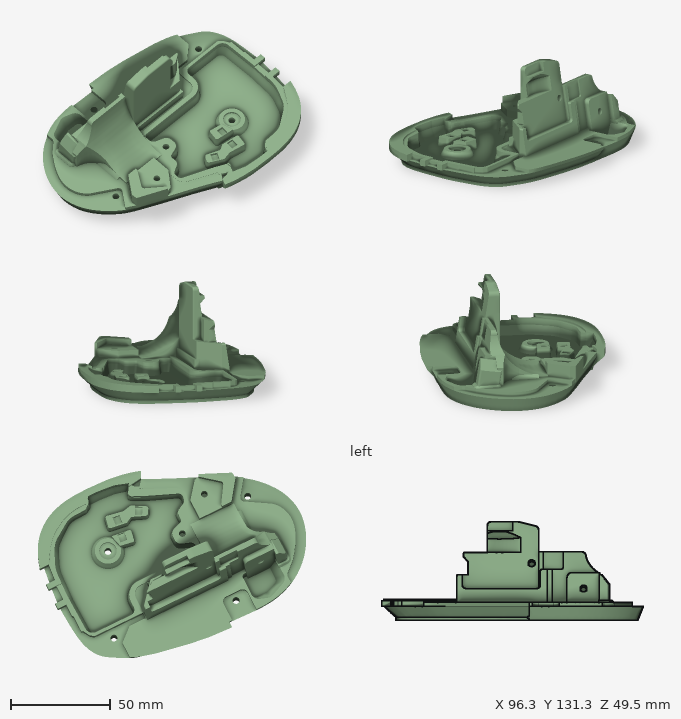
import cadquery as cq
import math


ledge_z = 7.1
deck_z = 9.1
rail_z = 10.0
front_rail_z = 9.3
flank_z = 10.7
pocket_floor_z = 2.5
recess_floor_z = 3.0
pad_z = 12.9
block_z = 15.8
wall_low_z = 23.0
wall_ledge_z = 16.0
wall_front_z = 34.5
wall_mid_z = 34.2
tower_z = 49.53

front_flare = 22.0
rear_flare = 47.0
rear_foot_z = 1.6
split_y = 57.3
overall_y = 131.27
far = 200.0

front_rim = [(89.1, 63.8), (76.9, 37.6), (72.0, 27.0), (66.9, 17.4), (60.1, 9.5), (51.4, 3.2), (39.5, 0.0),
             (26.1, 2.8), (14.2, 11.1), (7.4, 20.6), (3.7, 31.7), (2.9, 41.6), (3.3, split_y)]
rear_rim = [(-0.1, 46.0), (0.0, split_y), (1.1, 74.5), (3.1, 87.2), (5.1, 97.9), (9.2, 110.3),
            (12.2, 115.8), (16.6, 122.5), (25.3, 127.6), (38.0, 129.5), (47.5, 130.0), (58.4, 129.2),
            (72.0, 127.4), (82.7, 123.6), (91.0, 115.2), (95.0, 105.4), (96.2, 88.7), (95.4, 74.5),
            (92.5, 62.2), (88.0, 49.0)]
left_undercut = 1.0
left_rim_count = 5
rear_ledge_rim = [(x + left_undercut, y) for x, y in rear_rim[:left_rim_count]] + rear_rim[left_rim_count:]
front_closing = [(20, 100), (70, 100)]
rear_closing = [(80.0, 40.0), (12.0, 40.0)]
rear_region = [(-far, split_y), (40, split_y), (89.1, 63.8), (92.5, 62.2), (far, 30), (far, far), (-far, far)]

tab_inner_x0, tab_inner_x1 = 50.5, 58.4

wall_lean = 0.158
lean_angle = math.degrees(math.atan(wall_lean))
ramp_radius = 26.0
ramp_foot_x = 56.8
ramp_foot_z = 9.9
ramp_y0, ramp_y1 = 28.0, 52.5
front_end_y = 17.5
front_foot_x = 22.6
upper_foot_x = 24.2
pad_foot_x = 19.8
scoop_center = (17.2, 72.2)
scoop_radius = 16.3
scoop_roof_z = 43.5
wall_back_x = 37.3
wall_skirt_x = 38.7
wall_skirt_z = 14.0
tower_y0, tower_y1 = 52.4, 78.3

through_d = 3.5
blind_d = 3.4
blind_depth = 6.0
rail_hole = (54.5, 58.0)
pad_hole = (67.0, 39.4)
wall_hole_yz = (56.0, 28.7)
short_pad_hole_yz = (30.0, 16.0)
through_holes = [(22.0, 112.6), (12.0, 49.1), (57.6, 19.8)]
boss_center = (63.9, 95.0)


def rounded_outline(points, z=0.0):
    """Closed wire at height z; a point (x, y, r) has its corner rounded to radius r."""
    corners = []
    count = len(points)
    for i, point in enumerate(points):
        here = cq.Vector(point[0], point[1])
        radius = point[2] if len(point) > 2 else 0.0
        if radius == 0.0:
            corners.append((here, None, here))
            continue
        before = cq.Vector(*points[i - 1][:2])
        after = cq.Vector(*points[(i + 1) % count][:2])
        to_before = (before - here).normalized()
        to_after = (after - here).normalized()
        half_angle = to_before.getAngle(to_after) / 2
        setback = radius / math.tan(half_angle)
        bisector = (to_before + to_after).normalized()
        mid = here + bisector * (radius / math.sin(half_angle) - radius)
        corners.append((here + to_before * setback, mid, here + to_after * setback))
    path = cq.Workplane("XY", origin=(0, 0, z)).moveTo(*corners[0][2].toTuple()[:2])
    for start, mid, end in corners[1:] + corners[:1]:
        path = path.lineTo(*start.toTuple()[:2])
        if mid is not None:
            path = path.threePointArc(mid.toTuple()[:2], end.toTuple()[:2])
    return path.close()


def prism(points, z0, z1):
    """Upright prism on a rounded outline."""
    return rounded_outline(points, z0).extrude(z1 - z0)


def box(x0, x1, y0, y1, z0, z1):
    return cq.Workplane("XY").box(x1 - x0, y1 - y0, z1 - z0, centered=False).translate((x0, y0, z0))


def side_prism(points, x0, x1):
    """Prism along X on a rounded (Y, Z) outline."""
    return prism(points, x0, x1).rotate((0, 0, 0), (1, 1, 1), 120)


def leaning_slab(points, foot_x, back_x):
    """Slab on a (Y, Z) outline, its left face leaning from foot_x at Z = 0, its back at back_x."""
    lean = (
        cq.Workplane("XZ", origin=(0, far, 0))
        .moveTo(foot_x, 0).lineTo(far, 0).lineTo(far, far).lineTo(foot_x + wall_lean * far, far)
        .close().extrude(2 * far)
    )
    return side_prism(points, foot_x, back_x).intersect(lean)


def behind_face(foot_x, back_x):
    """Everything between a leaning plane and an upright plane at back_x."""
    return leaning_slab([(0, 0), (0, far), (far, far), (far, 0)], foot_x, back_x)


def inset(points, distance):
    """Points of an open clockwise curve, each moved to the right by distance."""
    moved = []
    for i, (x, y) in enumerate(points):
        x0, y0 = points[max(i - 1, 0)]
        x1, y1 = points[min(i + 1, len(points) - 1)]
        length = math.hypot(x1 - x0, y1 - y0)
        moved.append((x + distance * (y1 - y0) / length, y - distance * (x1 - x0) / length))
    return moved


def rim_wire(points, closing, z):
    """Closed wire at height z: a smooth curve through points, shut by straight lines."""
    path = cq.Workplane("XY", origin=(0, 0, z)).moveTo(*points[0]).spline(points[1:], includeCurrent=True)
    for point in closing:
        path = path.lineTo(*point)
    return path.close()


def flared_body(foot, rim, closing, foot_z):
    """Body up to the ledge: upright on its foot curve to foot_z, then flaring out to the rim."""
    sections = [rim_wire(foot, closing, foot_z).val(), rim_wire(rim, closing, ledge_z).val()]
    body = cq.Workplane(cq.Solid.makeLoft(sections, True))
    if foot_z > 0:
        body = body.union(rim_wire(foot, closing, 0).extrude(foot_z))
    return body


def front_body():
    foot = inset(front_rim, ledge_z * math.tan(math.radians(front_flare)))
    return flared_body(foot, front_rim, front_closing, 0)


def rear_body():
    foot = inset(rear_rim, (ledge_z - rear_foot_z) * math.tan(math.radians(rear_flare)))
    body = flared_body(foot, rear_ledge_rim, rear_closing, rear_foot_z)
    return body.intersect(prism(rear_region, 0, ledge_z))


def main_deck():
    """Deck on the left and front, set back from the ledge, with a notch around one screw hole."""
    height = deck_z - ledge_z
    front = rim_wire(front_rim, front_closing, ledge_z).extrude(height)
    rear_bottom = rim_wire(rear_ledge_rim, rear_closing, ledge_z).val()
    rear_top = rim_wire(rear_rim, rear_closing, deck_z).val()
    rear = cq.Workplane(cq.Solid.makeLoft([rear_bottom, rear_top], True))
    rear = rear.intersect(prism(rear_region, 0, far))
    region = (
        cq.Workplane("XY", origin=(0, 0, ledge_z))
        .moveTo(-far, 110.3).lineTo(17.4, 110.1).lineTo(23.7, 103.0).lineTo(23.7, 94.0).lineTo(50, 94.0)
        .lineTo(89.1, 63.8).lineTo(far, 63.8).lineTo(far, 17.4).lineTo(66.9, 17.4).lineTo(58.6, 23.4)
        .threePointArc((56.8, 23.8), (55.4, 22.6)).lineTo(49.4, 12.7)
        .spline([(45.1, 7.9), (37.2, 5.5), (26.9, 8.3), (17.4, 14.7)], includeCurrent=True)
        .lineTo(12.8, 19.8).lineTo(11.5, 20.6).lineTo(-far, 20.6).close().extrude(height)
    )
    notch = [(-far, 55.7), (15.6, 55.7, 3), (15.6, 42.2, 3), (-far, 42.2)]
    return front.union(rear).intersect(region).cut(prism(notch, ledge_z, deck_z))


def pocket_rail():
    outline = [(26.6, 90), (26.6, 121.2), (28.1, 123.2, 1), (31.6, 125.2), (31.6, 126.0), (40.3, 126.0),
               (41.1, 126.6), (61.3, 126.6), (61.3, 126.0), (69.9, 125.2), (80.7, 119.7, 8), (91, 106, 8),
               (92.6, 95), (89.5, 70.5), (84.3, 66.4), (76.0, 48.0, 5), (ramp_foot_x, 47.1),
               (ramp_foot_x, ramp_y1), (31, ramp_y1)]
    wall_seat = [(24, 93.8), (39.9, 93.8, 5), (39.9, 52), (24, 52)]
    slot_depth, slot_y0 = 1.0, 120.0
    slot = box(tab_inner_x0, tab_inner_x1, slot_y0, overall_y, rail_z - slot_depth, rail_z)
    drop_x0, drop_y1 = 42.4, 72.5
    front_drop = box(drop_x0, far, 0, drop_y1, front_rail_z, rail_z)
    rail = prism(outline, ledge_z, rail_z)
    return rail.cut(prism(wall_seat, deck_z, rail_z)).cut(slot).cut(front_drop)


def right_flank():
    outline = (
        cq.Workplane("XY", origin=(0, 0, ledge_z))
        .moveTo(69.9, 130.2)
        .spline([(76.4, 128.0), (82.7, 124.6), (91.0, 115.7), (95.0, 105.4), (96.26, 88.7), (95.4, 74.5),
                 (92.5, 62.2)], includeCurrent=True)
        .lineTo(89.1, 63.8).lineTo(87.9, 72.1).lineTo(91.8, 78).lineTo(92.3, 91.9).lineTo(89.5, 94.3)
        .spline([(88.7, 103.8), (86.3, 110.1), (80.7, 117.7), (73.2, 123.2), (69.9, 125.2)],
                includeCurrent=True)
        .close()
    )
    return outline.extrude(flank_z - ledge_z)


def tabs():
    """Two hooks that stick out of the back of the rail."""
    thickness, width = 3.0, 3.0
    root_y = 123.5
    right_tab_y = 130.9
    left = box(tab_inner_x0 - width, tab_inner_x0, root_y, overall_y, rail_z - thickness, rail_z)
    right = box(tab_inner_x1, tab_inner_x1 + width, root_y, right_tab_y, rail_z - thickness, rail_z)
    return left.union(right)


def pocket():
    """Pocket with walls drafted near the floor; the rear wall and the side bay slope the most."""
    rim = [(28.2, 96.9, 3), (28.2, 123.4, 4), (49.8, 124.0), (66.5, 123.4, 20), (78.5, 117.7, 12),
           (86.7, 105.5, 10), (87.1, 95.9, 1.5), (89.5, 93.1), (92.6, 91.9), (92.6, 86.4), (91.8, 77.7),
           (89.5, 70.5), (87.9, 71.5, 1), (83.9, 73.8, 1.5), (79.8, 65.0), (73.2, 48.9, 2.5),
           (68.8, 49.6, 2), (65.7, 55.3, 3), (60.3, 55.5, 1.5), (57.8, 62.9, 3.6),
           (50.8, 62.9, 3.6), (47.9, 54.7, 3), (42.4, 54.7, 1.5), (42.4, 96.9, 8)]
    floor = [(29.4, 97.7, 2), (29.4, 121.0, 3), (49.8, 121.5), (66.5, 120.6, 20), (77.5, 116.0, 12),
             (86.2, 105.0, 9), (86.6, 95.5, 1.2), (88.2, 92.8), (90.0, 91.7), (90.0, 86.4), (89.4, 78.3),
             (87.9, 72.4), (87.0, 72.3, 0.8), (83.6, 74.3, 1.2), (78.9, 65.3), (72.8, 49.9, 2),
             (69.4, 50.6, 2), (66.2, 56.4, 3), (61.1, 56.4, 1.5), (58.4, 63.7, 3.8),
             (50.2, 63.7, 3.8), (47.2, 55.6, 2.5), (43.3, 55.6, 1), (43.3, 97.7, 8)]
    draft_top_z = 7.0
    sections = [rounded_outline(floor, pocket_floor_z).val(), rounded_outline(rim, draft_top_z).val()]
    drafted = cq.Workplane(cq.Solid.makeLoft(sections, True))
    return drafted.union(prism(rim, draft_top_z, flank_z))


def pivot_boss():
    base_r, top_r, recess_r = 8.5, 6.6, 4.4
    top_z = 6.0
    recess_z = 5.0
    boss = (
        cq.Workplane("XY", origin=(*boss_center, pocket_floor_z))
        .circle(base_r).workplane(offset=top_z - pocket_floor_z).circle(top_r).loft(ruled=True)
    )
    recess = cq.Workplane("XY", origin=(*boss_center, recess_z)).circle(recess_r).extrude(top_z - recess_z)
    return boss.cut(recess)


def cradle(outline, saddles, top_z):
    """Drafted support on the pocket floor with shallow notches across its top."""
    draft = 7.0
    notch_size, notch_width, notch_depth = 4.2, 3.6, 1.5
    support = rounded_outline(outline, pocket_floor_z).extrude(top_z - pocket_floor_z, taper=draft)
    for x, y, angle in saddles:
        notch = cq.Workplane("XY").box(notch_size, notch_width, 2 * notch_depth)
        notch = notch.rotate((0, 0, 0), (0, 0, 1), angle).translate((x, y, top_z))
        support = support.cut(notch)
    return support


def cradles():
    floor_cradle_z = 7.5
    near_boss = [(62.6, 89.0), (70.2, 91.0), (68.9, 79.2, 1.5), (61.2, 80.6, 1.5)]
    middle = [(73.1, 90.4, 1.5), (80.9, 88.9, 1.5), (79.1, 79.2, 1), (80.1, 74.5, 2), (75.4, 65.8, 2),
              (70.1, 68.9, 2), (73.4, 76.9, 1), (71.7, 80.0, 1)]
    corner = [(79.0, 65.5, 0.5), (83.0, 73.9, 1.5), (89.5, 71.0), (85.5, 64.2, 0.5)]
    shapes = cradle(near_boss, [(66.6, 85.6, -5)], floor_cradle_z)
    shapes = shapes.union(cradle(middle, [(75.6, 83.8, -5), (75.2, 72.1, -28)], floor_cradle_z))
    return shapes.union(cradle(corner, [(83.5, 68.8, -28)], front_rail_z))


def screw_pad_and_block():
    pad = [(ramp_foot_x, 34), (ramp_foot_x, 47.1), (67.3, 47.1), (75.8, 40.4), (76.4, 38.0), (67.7, 27.5)]
    block = [(ramp_foot_x, 34.6), (57.8, 34.6), (67.7, 28.3, 1.5), (75.8, 38.4), (76.9, 37.6),
             (70.0, 22.2, 1), (66.9, 22.0), (ramp_foot_x, 29.3)]
    return prism(pad, ledge_z, pad_z).union(prism(block, ledge_z, block_z))


def low_wall():
    """Base of the wall with a ledge under the upper face and a diagonal gusset at the rear."""
    foot_x = 21.0
    front_y, rear_y = 48.1, 93.6
    step_y, step_foot_x = 45.6, 21.9
    wall_front_back_x = 30.0
    skirt_rear_y = 85.5
    ledge_y0, ledge_y1 = 51.6, 90.9
    front_top_z = 25.7
    side = [(front_y, 0), (front_y, front_top_z), (ledge_y0, front_top_z, 0.8), (ledge_y0, wall_low_z),
            (rear_y, wall_low_z, 0.8), (rear_y, 0)]
    slab = leaning_slab(side, foot_x, wall_back_x)
    window = side_prism([(ledge_y0, wall_ledge_z, 2), (ledge_y1, wall_ledge_z, 2), (ledge_y1, far),
                         (ledge_y0, far)], 0, wall_back_x)
    behind = behind_face(upper_foot_x, wall_back_x)
    plan = [(0, 0), (0, rear_y), (26.5, rear_y), (wall_back_x, 84.5), (wall_back_x, ramp_y1),
            (wall_front_back_x, ramp_y1), (wall_front_back_x, 0)]
    slab = slab.cut(window.cut(behind)).intersect(prism(plan, 0, front_top_z))
    step = leaning_slab([(step_y, 0), (step_y, front_top_z), (front_y, front_top_z), (front_y, 0)],
                        step_foot_x, wall_front_back_x)
    skirt = box(wall_front_back_x, wall_skirt_x, ramp_y1, skirt_rear_y, ledge_z, wall_skirt_z)
    return slab.union(step).union(skirt)


def upper_wall():
    """Thin upper wall behind the scoop, with a hook-shaped rear edge."""
    side = [(60, 10), (60, wall_mid_z), (90.3, wall_mid_z, 1), (90.3, 32.0, 0.6), (88.0, 29.5, 0.6),
            (88.0, 22.8, 0.8), (87.0, 22.8), (87.0, 10)]
    wall = leaning_slab(side, upper_foot_x, 33.6)
    rear_corner = [(27, 95), (33.7, 85), (33.7, 95)]
    return wall.cut(prism(rear_corner, wall_low_z, tower_z))


def tower():
    """Tall end of the upper wall with a leaning round scoop in its left face."""
    side = [(tower_y0, ledge_z), (tower_y0, 47.0, 2.5), (62.5, tower_z, 6), (tower_y1, tower_z, 2),
            (tower_y1, ledge_z)]
    edge_radius = 0.7
    web_x0, web_y1 = 28.0, 81.8
    body = leaning_slab(side, upper_foot_x, wall_back_x).edges("|Z and >X and <Y").fillet(edge_radius)
    body = body.union(box(web_x0, wall_back_x, tower_y1, web_y1, ledge_z, wall_low_z))
    dome_slope = 0.84
    dome_rise = 3.0
    straight = scoop_roof_z - wall_mid_z
    base = cq.Workplane("XY", origin=(*scoop_center, wall_mid_z))
    scoop = base.circle(scoop_radius).extrude(straight)
    dome = (
        base.workplane(offset=straight).circle(scoop_radius)
        .workplane(offset=dome_rise).circle(scoop_radius - dome_rise / dome_slope).loft(ruled=True)
    )
    pivot = cq.Vector(*scoop_center, wall_mid_z)
    scoop = scoop.union(dome).rotate(pivot, pivot + cq.Vector(0, 1, 0), lean_angle)
    shelf_y = 65.5
    shelf_z = 45.0
    shelf_foot_x = 26.6
    shelf = box(0, wall_back_x, shelf_y, overall_y, shelf_z, tower_z)
    kept = behind_face(shelf_foot_x, wall_back_x)
    return body.cut(scoop).cut(shelf.cut(kept))


def ramp_profile(y0, y1):
    """Leaning left face, flat top and a quarter-cylinder hollow on the right."""
    center_z = ramp_foot_z + ramp_radius
    arc_angle = math.acos((center_z - wall_front_z) / ramp_radius)
    arc_top_x = ramp_foot_x - ramp_radius * math.sin(arc_angle)
    mid_x = ramp_foot_x - ramp_radius * math.sin(arc_angle / 2)
    mid_z = center_z - ramp_radius * math.cos(arc_angle / 2)
    return (
        cq.Workplane("XZ", origin=(0, y1, 0))
        .moveTo(front_foot_x, 0).lineTo(front_foot_x + wall_lean * wall_front_z, wall_front_z)
        .lineTo(arc_top_x, wall_front_z).threePointArc((mid_x, mid_z), (ramp_foot_x, ramp_foot_z))
        .lineTo(ramp_foot_x, 0).close().extrude(y1 - y0)
    )


def front_end_envelope():
    """Side outline of the wall's curved front end, as wide as the ramp."""
    return (
        cq.Workplane("YZ").moveTo(front_end_y, 0).lineTo(front_end_y, 18.5).lineTo(21.5, 22.8)
        .lineTo(22.4, 23.9).threePointArc((26.5, 27.5), (28.7, 32.0))
        .threePointArc((29.4, 33.8), (30.8, wall_front_z))
        .lineTo(ramp_y1, wall_front_z).lineTo(ramp_y1, 0).close().extrude(ramp_foot_x)
    )


def wall_front_end():
    """Front end of the wall beyond the ramp, with a hollow blend into the ramp."""
    blend_x, blend_left_x = 42.0, 28.8
    foot_rear_y = 21.9
    wall_left_x = 20.0
    plan = (
        cq.Workplane("XY").moveTo(wall_left_x, ramp_y0).lineTo(blend_x, ramp_y0)
        .threePointArc((36.0, 25.0), (32.0, front_end_y)).lineTo(blend_left_x, front_end_y)
        .lineTo(blend_left_x, foot_rear_y).lineTo(wall_left_x, foot_rear_y).close().extrude(wall_front_z)
    )
    return ramp_profile(front_end_y, ramp_y0).intersect(front_end_envelope()).intersect(plan)


def ramp():
    """Front half of the wall with its hollow, and a shallow recess in the left face."""
    recess_depth = 1.0
    recess = side_prism([(40.2, 25.7, 1), (40.2, far), (50.3, far), (50.3, 25.7)], 0, ramp_foot_x)
    behind = behind_face(front_foot_x + recess_depth, ramp_foot_x)
    skirt_reach, skirt_rise = 2.1, 1.8
    skirt_x0, skirt_x1 = 38.0, 52.0
    skirt = side_prism([(ramp_y0, 0), (ramp_y0, deck_z + skirt_rise), (ramp_y0 - skirt_reach, deck_z),
                        (ramp_y0 - skirt_reach, 0)], skirt_x0, skirt_x1)
    wall = ramp_profile(ramp_y0, ramp_y1).intersect(front_end_envelope())
    return wall.cut(recess.cut(behind)).union(skirt)


def front_foot():
    """Leaning foot at the front of the wall, above a rounded plinth."""
    width, height = 11.3, 22.3
    front_y, rear_y = 16.9, 22.2
    chamfer_y, chamfer_z = 4.0, 5.0
    foot_x = 17.3
    corner_radius, plinth_chamfer = 1.0, 0.9
    lift = 1.0
    below = -5.0
    foot = side_prism([(front_y, below), (front_y, height - chamfer_z), (front_y + chamfer_y, height),
                       (rear_y, height), (rear_y, below)], 0, width)
    foot = foot.edges("|Z and <Y").fillet(corner_radius)
    foot = foot.rotate((0, 0, 0), (0, 1, 0), lean_angle).translate((foot_x, 0, lift))
    plinth = [(17.0, 14.9, 2.5), (17.0, 22.5), (31.0, 22.5), (31.0, 14.9, 2.5)]
    plinth_z = deck_z + 1.0
    base = prism(plinth, recess_floor_z, plinth_z).edges(">Z and <Y").chamfer(plinth_chamfer)
    return foot.intersect(box(0, far, 0, far, recess_floor_z, tower_z)).union(base)


def short_pad():
    """Short leaning pad that rises from the hollow in the deck."""
    side = [(22.0, 0), (22.0, 24.0), (38.3, 24.0, 2.5), (38.3, 0)]
    return leaning_slab(side, pad_foot_x, 27.0)


def front_recess():
    """Hollow in the deck in front of the short pad, with sloping sides."""
    rim = [(5.2, 33.0, 3), (7.8, 41.0, 4), (22.1, 41.0, 1.5), (22.1, 22.0), (10.0, 22.0, 4)]
    floor = [(10.0, 33.0, 2.5), (10.2, 40.3, 2.5), (21.6, 40.7, 1.0), (21.6, 26.0), (12.5, 26.0, 2.5)]
    sections = [rounded_outline(floor, recess_floor_z).val(), rounded_outline(rim, deck_z).val()]
    return cq.Workplane(cq.Solid.makeLoft(sections, True))


def upright_hole(x, y, diameter, z0, z1):
    return cq.Workplane("XY", origin=(x, y, z0)).circle(diameter / 2).extrude(z1 - z0)


def face_hole(y, z, foot_x):
    """Blind hole square to a leaning left face."""
    hole = cq.Workplane("YZ").circle(blind_d / 2).extrude(blind_depth, both=True)
    return hole.rotate((0, 0, 0), (0, 1, 0), lean_angle).translate((foot_x + wall_lean * z, y, z))


result = front_body().union(rear_body()).union(main_deck()).union(pocket_rail()).union(right_flank())
result = result.union(tabs()).cut(pocket()).union(pivot_boss()).union(cradles()).union(screw_pad_and_block())
result = result.cut(front_recess())
for solid in (low_wall(), upper_wall(), tower(), ramp(), wall_front_end(), front_foot(), short_pad()):
    result = result.union(solid)
for x, y in through_holes + [boss_center]:
    result = result.cut(upright_hole(x, y, through_d, 0, deck_z))
result = result.cut(upright_hole(*rail_hole, blind_d, front_rail_z - blind_depth, front_rail_z))
result = result.cut(upright_hole(*pad_hole, blind_d, pad_z - blind_depth, pad_z))
result = result.cut(face_hole(*wall_hole_yz, upper_foot_x)).cut(face_hole(*short_pad_hole_yz, pad_foot_x))